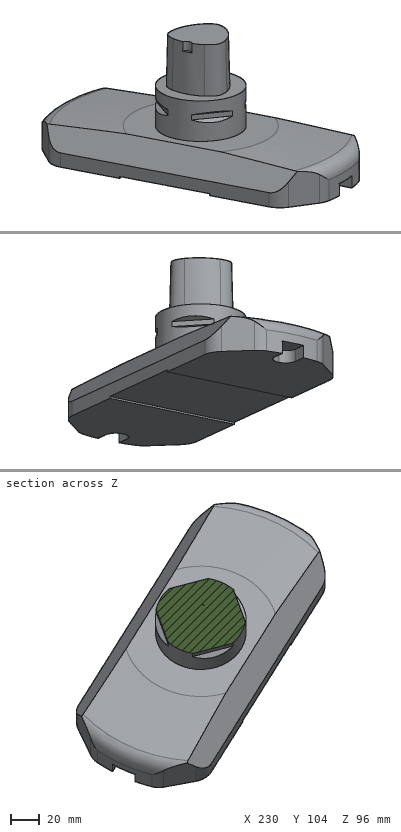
import cadquery as cq
import math

end_radius = 115.0
half_width = 52.0
plate_height = 28.5
flat_radius = 53.8
crown_radius = 105.3
crown_edge_height = 25.8
rounding_start_height = 15.5
corner_cut_angle = 50.0
corner_cut_start = 90.0
corner_radius = 16.0
bevel_start_height = 10.5
bevel_top_half_width = 39.0

recess_length = 71.3
recess_depth = 1.4
end_slot_width = 17.5
end_slot_height = 9.0
end_slot_depth = 18.5
end_slot_corner_radius = 8.3

collar_radius = 63.0 / 2
collar_top = 58.5
groove_count = 4
groove_height = 46.0
groove_floor_distance = 27.8
groove_floor_width = 3.7
groove_mouth_width = 7.8

shank_top = 96.0
shank_top_radius = 21.2
shank_bottom_radius = 22.0
lobe_height = 1.8
side_half_angle = 22.0
span_steps = 8
key_radius = 4.0
key_axis_offset = 20.7
key_depth = 7.0


def plate_outline():
    """Plan of the plate: long sides, diagonal corners and round ends."""
    slope = math.tan(math.radians(corner_cut_angle))
    reach = half_width + slope * corner_cut_start
    square_term = 1 + slope**2
    root = math.sqrt(end_radius**2 * square_term - reach**2)
    end_x = (slope * reach + root) / square_term
    end_y = reach - slope * end_x
    return (
        cq.Workplane("XY")
        .moveTo(-corner_cut_start, -half_width)
        .lineTo(corner_cut_start, -half_width)
        .lineTo(end_x, -end_y)
        .threePointArc((end_radius, 0), (end_x, end_y))
        .lineTo(corner_cut_start, half_width)
        .lineTo(-corner_cut_start, half_width)
        .lineTo(-end_x, end_y)
        .threePointArc((-end_radius, 0), (-end_x, -end_y))
        .close()
    )


def crowned_disc():
    """Disc with a flat centre, a shallow cone and a rounded rim."""
    return (
        cq.Workplane("XZ")
        .lineTo(end_radius, 0)
        .lineTo(end_radius, rounding_start_height)
        .tangentArcPoint((crown_radius, crown_edge_height), relative=False)
        .lineTo(flat_radius, plate_height)
        .lineTo(0, plate_height)
        .close()
        .revolve(360, (0, 0), (0, 1))
    )


def beveled_bar():
    """Bar along X whose section gives the sloping long sides."""
    return (
        cq.Workplane("YZ")
        .moveTo(-half_width, 0)
        .lineTo(half_width, 0)
        .lineTo(half_width, bevel_start_height)
        .lineTo(bevel_top_half_width, plate_height)
        .lineTo(-bevel_top_half_width, plate_height)
        .lineTo(-half_width, bevel_start_height)
        .close()
        .extrude(end_radius, both=True)
    )


def base_plate():
    plate = plate_outline().extrude(plate_height).edges("|Z").fillet(corner_radius)
    plate = plate.intersect(crowned_disc()).intersect(beveled_bar())
    recess = cq.Workplane("XY").rect(recess_length, 2 * half_width).extrude(recess_depth)
    plate = plate.cut(recess)
    slot = (
        cq.Workplane("XY")
        .pushPoints([(-end_radius, 0), (end_radius, 0)])
        .rect(2 * end_slot_depth, end_slot_width)
        .extrude(end_slot_height)
        .edges("|Z")
        .fillet(end_slot_corner_radius)
    )
    return plate.cut(slot)


def collar():
    body = cq.Workplane("XY", origin=(0, 0, recess_depth)).circle(collar_radius)
    body = body.extrude(collar_top - recess_depth)
    groove = (
        cq.Workplane("XZ")
        .moveTo(groove_floor_distance, groove_height - groove_floor_width / 2)
        .lineTo(collar_radius, groove_height - groove_mouth_width / 2)
        .lineTo(collar_radius, groove_height + groove_mouth_width / 2)
        .lineTo(groove_floor_distance, groove_height + groove_floor_width / 2)
        .close()
        .extrude(collar_radius, both=True)
    )
    for index in range(groove_count):
        angle = (index + 0.5) * 360 / groove_count
        body = body.cut(groove.rotate((0, 0, 0), (0, 0, 1), angle))
    return body


def lobed_point(mean_radius, angle):
    """Point, with normal at the given angle, on a three-lobed curve; one lobe is toward +Y."""
    support = mean_radius + lobe_height * math.cos(3 * (angle - math.pi / 2))
    support_slope = -3 * lobe_height * math.sin(3 * (angle - math.pi / 2))
    return cq.Vector(
        support * math.cos(angle) - support_slope * math.sin(angle),
        support * math.sin(angle) + support_slope * math.cos(angle),
    )


def lobed_span(mean_radius, start, end):
    """Smooth piece of the lobed curve between two normal angles in degrees."""
    angles = [
        math.radians(start + (end - start) * step / span_steps) for step in range(span_steps + 1)
    ]
    tangents = [cq.Vector(-math.sin(angle), math.cos(angle)) for angle in (angles[0], angles[-1])]
    return cq.Edge.makeSpline([lobed_point(mean_radius, angle) for angle in angles], tangents)


def lobed_wire(mean_radius, height):
    """Closed section made of three shallow sides joined by three lobes."""
    spans = []
    for side_middle in (-90, 30, 150):
        side_end = side_middle + side_half_angle
        spans.append(lobed_span(mean_radius, side_middle - side_half_angle, side_end))
        spans.append(lobed_span(mean_radius, side_end, side_middle + 120 - side_half_angle))
    return cq.Wire.assembleEdges(spans).translate(cq.Vector(0, 0, height))


def shank():
    bottom = lobed_wire(shank_bottom_radius, collar_top)
    top = lobed_wire(shank_top_radius, shank_top)
    body = cq.Workplane(cq.Solid.makeLoft([bottom, top], True))
    key_notch = (
        cq.Workplane("XY", origin=(0, -key_axis_offset, shank_top - key_depth))
        .circle(key_radius)
        .extrude(key_depth)
    )
    return body.cut(key_notch)


result = base_plate().union(collar()).union(shank())